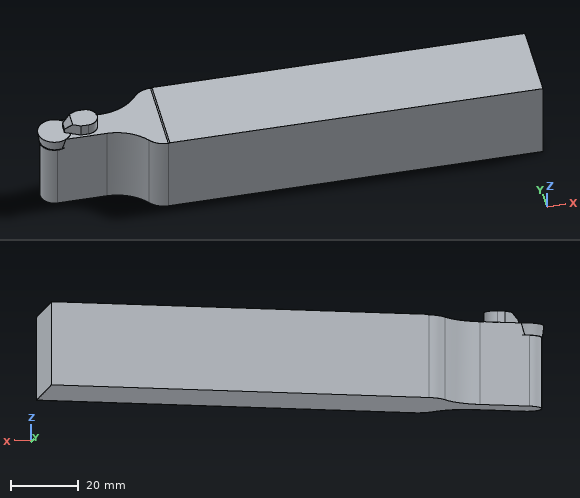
import cadquery as cq
import math

length = 150.0
shank_width = 25.0
shank_height = 25.0
total_height = 28.5

insert_diameter = 10.0
insert_thickness = 3.6
relief_angle = 7.0
insert_radius = insert_diameter / 2
insert_base_radius = insert_radius - insert_thickness * math.tan(math.radians(relief_angle))
insert_x = insert_radius

neck_half_width = 4.4
neck_end_x = 20.0
shank_start_x = 36.8
shank_half_width = shank_width / 2
step_height = 0.2
step_length = 0.5
head_height = shank_height - step_height
seat_z = head_height - insert_thickness

flare_length = shank_start_x - neck_end_x
flare_rise = shank_half_width - neck_half_width
flare_angle = 2 * math.atan2(flare_rise, flare_length)
flare_radius_sum = flare_length / math.sin(flare_angle)
neck_arc_radius = 14.7
shoulder_arc_radius = flare_radius_sum - neck_arc_radius

clamp_half_width = 3.5
clamp_tip_half_width = 1.4
clamp_tip_x = 7.8
clamp_taper_end_x = 12.3
clamp_rear_centre_x = 14.5
clamp_slope_end_x = 10.0
clamp_tip_height = 1.4


def arc_point(radius, angle):
    """Advance and rise of an arc that starts along X and turns through the angle."""
    return radius * math.sin(angle), radius * (1 - math.cos(angle))


def holder_outline():
    half_angle = flare_angle / 2
    neck_mid = arc_point(neck_arc_radius, half_angle)
    neck_end = arc_point(neck_arc_radius, flare_angle)
    shoulder_mid = arc_point(shoulder_arc_radius, half_angle)

    bend = (neck_end_x + neck_end[0], neck_half_width + neck_end[1])
    neck_arc_mid = (neck_end_x + neck_mid[0], neck_half_width + neck_mid[1])
    shoulder_arc_mid = (shank_start_x - shoulder_mid[0], shank_half_width - shoulder_mid[1])
    shank_start = (shank_start_x, shank_half_width)
    neck_end_point = (neck_end_x, neck_half_width)

    def mirrored(point):
        return point[0], -point[1]

    return (
        cq.Workplane("XY")
        .moveTo(insert_x, neck_half_width)
        .lineTo(*neck_end_point)
        .threePointArc(neck_arc_mid, bend)
        .threePointArc(shoulder_arc_mid, shank_start)
        .lineTo(length, shank_half_width)
        .lineTo(length, -shank_half_width)
        .lineTo(*mirrored(shank_start))
        .threePointArc(mirrored(shoulder_arc_mid), mirrored(bend))
        .threePointArc(mirrored(neck_arc_mid), mirrored(neck_end_point))
        .lineTo(insert_x, -neck_half_width)
        .threePointArc((insert_x - neck_half_width, 0), (insert_x, neck_half_width))
        .close()
    )


def head_top_cut():
    """Material above the head, ending in a short ramp up to the shank's top."""
    return (
        cq.Workplane("XZ")
        .moveTo(0, head_height)
        .lineTo(shank_start_x, head_height)
        .lineTo(shank_start_x + step_length, shank_height)
        .lineTo(0, shank_height)
        .close()
        .extrude(shank_half_width, both=True)
    )


def make_clamp():
    """Boat-shaped clamp with a tapered, sloping nose and a round rear end."""
    body = (
        cq.Workplane("XY", origin=(0, 0, head_height))
        .moveTo(clamp_tip_x, -clamp_tip_half_width)
        .lineTo(clamp_taper_end_x, -clamp_half_width)
        .lineTo(clamp_rear_centre_x, -clamp_half_width)
        .threePointArc(
            (clamp_rear_centre_x + clamp_half_width, 0),
            (clamp_rear_centre_x, clamp_half_width),
        )
        .lineTo(clamp_taper_end_x, clamp_half_width)
        .lineTo(clamp_tip_x, clamp_tip_half_width)
        .close()
        .extrude(total_height - head_height)
    )
    nose_slope = (
        cq.Workplane("XZ")
        .moveTo(clamp_tip_x, head_height + clamp_tip_height)
        .lineTo(clamp_slope_end_x, total_height)
        .lineTo(clamp_tip_x, total_height)
        .close()
        .extrude(clamp_half_width, both=True)
    )
    return body.cut(nose_slope)


def make_insert():
    cone = cq.Solid.makeCone(
        insert_base_radius, insert_radius, insert_thickness, pnt=cq.Vector(insert_x, 0, seat_z)
    )
    return cq.Workplane(obj=cone)


def make_holder(insert):
    """Shank, head and clamp in one body, with a seat that matches the insert."""
    body = holder_outline().extrude(shank_height).cut(head_top_cut())
    return body.union(make_clamp()).cut(insert)


insert = make_insert()
holder = make_holder(insert)

result = cq.Compound.makeCompound([holder.solids().val(), insert.val()])